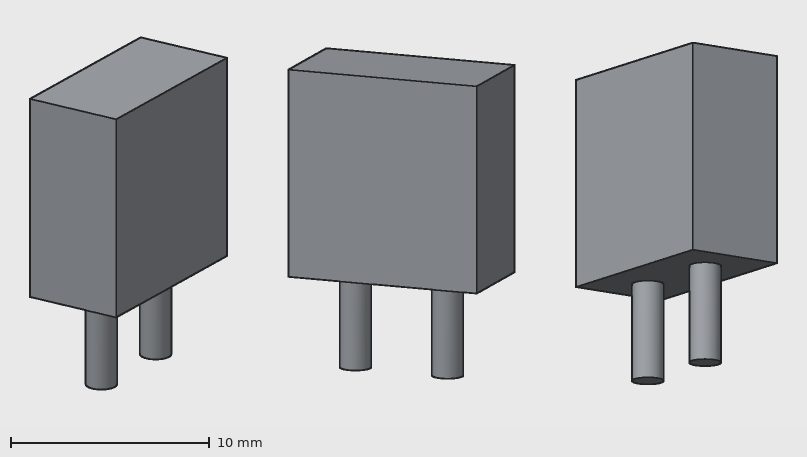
import cadquery as cq

width = 5.2
depth = 10.2
total_height = 15.7

pin_diameter = 1.6
pin_length = 5.0
pin_spacing = 5.0

housing_height = total_height - pin_length


def make_housing():
    """Plain rectangular block standing on Z = 0."""
    return cq.Workplane("XY").box(width, depth, housing_height, centered=(True, True, False))


def make_pin(y):
    """Round pin hanging from the underside of the housing."""
    return cq.Workplane("XY").center(0, y).circle(pin_diameter / 2).extrude(-pin_length)


housing = make_housing()
pins = [make_pin(side * pin_spacing / 2) for side in (-1, 1)]

result = cq.Compound.makeCompound([housing.val(), *[pin.val() for pin in pins]])